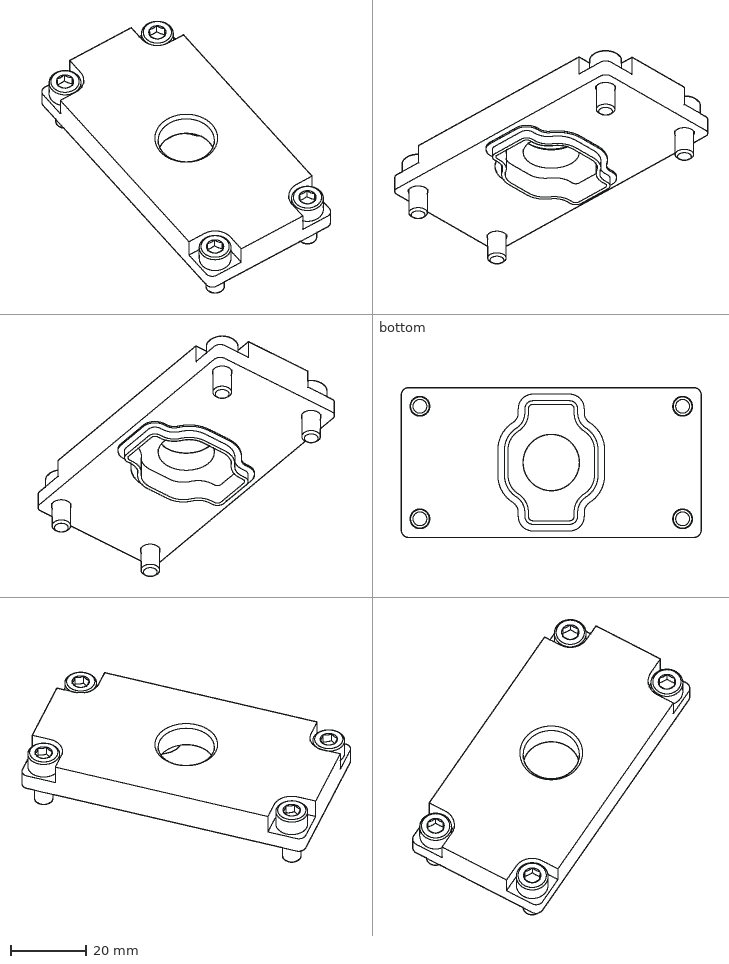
import cadquery as cq
import math

plate_length = 80.0
plate_width = 40.0
plate_thickness = 10.0
plate_corner_radius = 2.0

pocket_size = 10.0
screw_inset = pocket_size / 2
pocket_radius = pocket_size / 2
pocket_depth = 5.5
clearance_diameter = 5.3
screw_points = [
    (sx * (plate_length / 2 - screw_inset), sy * (plate_width / 2 - screw_inset))
    for sx in (-1, 1)
    for sy in (-1, 1)
]

shank_diameter = 5.0
shank_length = 12.1
shank_chamfer = 0.6
head_diameter = 8.5
head_height = 5.0
head_chamfer = 0.5
head_gap = 0.1
socket_across_flats = 4.0
socket_depth = 2.5
socket_tip_angle = 118.0

bore_diameter = 15.0
bore_chamfer = 0.9
bore_floor_depth = 6.8

collar_height = 2.9
collar_wall = 1.0
collar_half_x = 12.5
collar_half_y = 16.5
side_flat_half = 3.4
side_radius = 6.9
lobe_half_x = 7.0
lobe_corner_radius = 2.2
waist_radius = 4.9

gasket_width = 1.8
gasket_thickness = 0.5


def collar_outline(offset, z, height):
    """Prism on the collar outline, grown outward by offset; all arcs meet tangentially."""
    half_x = collar_half_x + offset
    half_y = collar_half_y + offset
    big = side_radius + offset
    corner = lobe_corner_radius + offset
    waist = waist_radius - offset
    lobe_x = lobe_half_x + offset

    side_center_x = half_x - big
    waist_center_x = lobe_x + waist
    sweep = math.acos((waist_center_x - side_center_x) / (big + waist))
    waist_center_y = side_flat_half + (big + waist) * math.sin(sweep)

    def on_side(angle):
        return (side_center_x + big * math.cos(angle), side_flat_half + big * math.sin(angle))

    def on_waist(angle):
        return (waist_center_x - waist * math.cos(angle), waist_center_y - waist * math.sin(angle))

    corner_center = (lobe_x - corner, half_y - corner)
    corner_middle = tuple(c + corner * math.sqrt(0.5) for c in corner_center)

    quarter = (
        cq.Workplane("XY", origin=(0, 0, z))
        .lineTo(half_x, 0)
        .lineTo(half_x, side_flat_half)
        .threePointArc(on_side(sweep / 2), on_side(sweep))
        .threePointArc(on_waist(sweep / 2), on_waist(0))
        .lineTo(lobe_x, corner_center[1])
        .threePointArc(corner_middle, (corner_center[0], half_y))
        .lineTo(0, half_y)
        .close()
        .extrude(height)
    )
    half = quarter.union(quarter.mirror("YZ"))
    return half.union(half.mirror("XZ")).clean()


def corner_pocket(x, y):
    """Pocket open to both outer sides, rounded about the screw axis."""
    size = 2 * pocket_size
    pocket = cq.Workplane("XY").box(size, size, pocket_depth, centered=(True, True, False))
    pocket = pocket.edges("|Z").fillet(pocket_radius)
    corner_x = math.copysign(plate_length / 2, x)
    corner_y = math.copysign(plate_width / 2, y)
    return pocket.translate((corner_x, corner_y, plate_thickness - pocket_depth))


def make_plate():
    plate = cq.Workplane("XY").box(
        plate_length, plate_width, plate_thickness, centered=(True, True, False)
    )
    plate = plate.edges("|Z").fillet(plate_corner_radius)
    for x, y in screw_points:
        plate = plate.cut(corner_pocket(x, y))
    clearance = (
        cq.Workplane("XY").pushPoints(screw_points).circle(clearance_diameter / 2).extrude(plate_thickness)
    )
    plate = plate.cut(clearance)

    plate = plate.union(collar_outline(0, -collar_height, collar_height))
    hollow_height = collar_height + plate_thickness - bore_floor_depth
    plate = plate.cut(collar_outline(-collar_wall, -collar_height, hollow_height))

    bore = cq.Workplane("XY").circle(bore_diameter / 2).extrude(plate_thickness)
    rim = cq.Solid.makeCone(
        bore_diameter / 2,
        bore_diameter / 2 + bore_chamfer,
        bore_chamfer,
        pnt=cq.Vector(0, 0, plate_thickness - bore_chamfer),
    )
    return plate.cut(bore).cut(cq.Workplane(rim))


def make_gasket():
    outer = collar_outline(gasket_width, -gasket_thickness, gasket_thickness)
    return outer.cut(collar_outline(0, -gasket_thickness, gasket_thickness))


def make_socket():
    """Hexagon recess, open at Z = head_height, with a countersunk rim and a conical drill tip."""
    flat_radius = socket_across_flats / 2
    corner_radius = flat_radius / math.cos(math.radians(30))
    tip_height = corner_radius / math.tan(math.radians(socket_tip_angle / 2))
    floor_z = head_height - socket_depth
    hexagon = (
        cq.Workplane("XY", origin=(0, 0, floor_z - tip_height))
        .polygon(6, 2 * corner_radius)
        .extrude(socket_depth + tip_height)
        .rotate((0, 0, 0), (0, 0, 1), 30)
    )
    drill = (
        cq.Workplane("XZ")
        .moveTo(0, floor_z - tip_height)
        .lineTo(corner_radius, floor_z)
        .lineTo(corner_radius, head_height)
        .lineTo(0, head_height)
        .close()
        .revolve(360, (0, 0, 0), (0, 1, 0))
    )
    rim_height = corner_radius - flat_radius
    rim = cq.Solid.makeCone(
        flat_radius, corner_radius, rim_height, pnt=cq.Vector(0, 0, head_height - rim_height)
    )
    return hexagon.intersect(drill).union(cq.Workplane(rim))


def make_screw(x, y):
    head = cq.Workplane("XY").circle(head_diameter / 2).extrude(head_height)
    head = head.faces(">Z").edges().chamfer(head_chamfer)
    shank = cq.Workplane("XY").circle(shank_diameter / 2).extrude(-shank_length)
    shank = shank.faces("<Z").edges().chamfer(shank_chamfer)
    screw = head.union(shank).cut(make_socket())
    return screw.translate((x, y, plate_thickness - pocket_depth + head_gap))


plate = make_plate()
gasket = make_gasket()
screws = [make_screw(x, y) for x, y in screw_points]

result = cq.Compound.makeCompound([plate.val(), gasket.val(), *[screw.val() for screw in screws]])